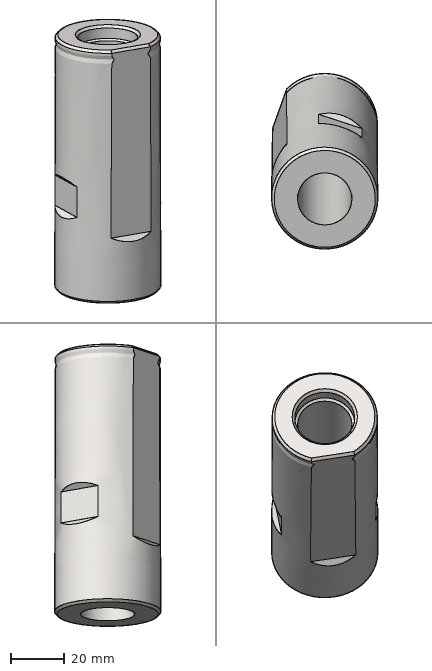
import cadquery as cq
import math

length = 100.0
base_radius = 20.0
top_radius = 19.82
collar_height = 16.5
edge_chamfer = 1.0

groove_upper_z = length - 2.1
groove_lower_z = length - 5.2
groove_root_upper_z = length - 3.5
groove_root_lower_z = length - 3.7
groove_depth = 0.4

bore_radius = 20.38 / 2
counterbore_radius = 22.5 / 2
counterbore_chamfer = 1.0
counterbore_depth = 5.1
step_angle = 30.0

flat_distance = 18.0
long_flat_bottom_z = 26.0
wrench_flat_bottom_z = 33.0
wrench_flat_top_z = 45.0
cutter_reach = 5.0
cutter_width = 2 * base_radius


def make_body():
    """Straight collar below a slightly tapered shank with a ring groove, revolved about Z."""
    groove_radius = top_radius - groove_depth
    profile = [
        (0, 0),
        (base_radius - edge_chamfer, 0),
        (base_radius, edge_chamfer),
        (base_radius, collar_height),
        (top_radius, groove_lower_z),
        (groove_radius, groove_root_lower_z),
        (groove_radius, groove_root_upper_z),
        (top_radius, groove_upper_z),
        (top_radius, length - edge_chamfer),
        (top_radius - edge_chamfer, length),
        (0, length),
    ]
    return cq.Workplane("XZ").polyline(profile).close().revolve(360, (0, 0), (0, 1))


def make_bore():
    """Through bore with a chamfered counterbore that ends in a conical step."""
    step_drop = (counterbore_radius - bore_radius) * math.tan(math.radians(step_angle))
    step_top_z = length - counterbore_depth
    profile = [
        (0, 0),
        (bore_radius, 0),
        (bore_radius, step_top_z - step_drop),
        (counterbore_radius, step_top_z),
        (counterbore_radius, length - counterbore_chamfer),
        (counterbore_radius + counterbore_chamfer, length),
        (0, length),
    ]
    return cq.Workplane("XZ").polyline(profile).close().revolve(360, (0, 0), (0, 1))


def make_long_flat_cutter():
    """Cutter for the +X flat, open at the top, with its top edge chamfer left standing."""
    outer = flat_distance + cutter_reach
    profile = [
        (flat_distance, long_flat_bottom_z),
        (outer, long_flat_bottom_z - cutter_reach),
        (outer, length),
        (flat_distance - edge_chamfer, length),
        (flat_distance, length - edge_chamfer),
    ]
    return cq.Workplane("XZ").polyline(profile).close().extrude(cutter_width / 2, both=True)


def make_wrench_flat_cutter(side):
    """Cutter for one wrench flat; side is +1 for +Y and -1 for -Y."""
    outer = flat_distance + cutter_reach
    profile = [
        (side * flat_distance, wrench_flat_bottom_z),
        (side * outer, wrench_flat_bottom_z - cutter_reach),
        (side * outer, wrench_flat_top_z + cutter_reach),
        (side * flat_distance, wrench_flat_top_z),
    ]
    return cq.Workplane("YZ").polyline(profile).close().extrude(cutter_width / 2, both=True)


result = make_body().cut(make_bore()).cut(make_long_flat_cutter())
for flat_side in (-1, 1):
    result = result.cut(make_wrench_flat_cutter(flat_side))